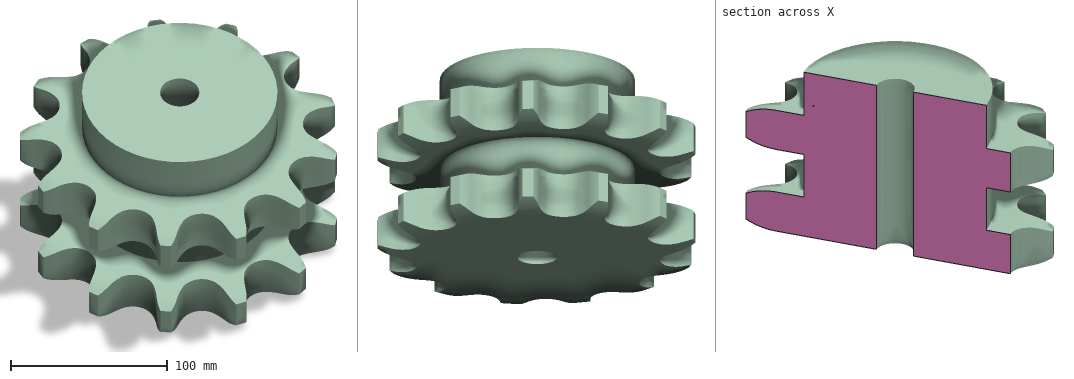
import cadquery as cq
import math


total_height = 120.0
hub_diameter = 125.0
bore_diameter = 25.0

tooth_count = 13
wheel_thickness = 28.9
strand_spacing = 59.6
tip_radius = 102.1

pitch_radius = 92.8
roller_diameter = 27.9
tooth_angle = 360 / tooth_count
chain_pitch = 2 * pitch_radius * math.sin(math.radians(tooth_angle / 2))

relief_start_radius = 81.8
relief_arc_radius = chain_pitch
blank_margin = 2.0

seat_radius = 1.005 * roller_diameter / 2
seat_angle = 35 + 60 / tooth_count
working_angle = 18 - 56 / tooth_count
working_center_distance = 0.8 * roller_diameter
topping_center_distance = 1.4 * roller_diameter

def polar(center, distance, degrees):
    """Point at a distance and direction from a center."""
    angle = math.radians(degrees)
    return (center[0] + distance * math.cos(angle), center[1] + distance * math.sin(angle))


def turned(point, degrees):
    """Point rotated about the Z axis."""
    direction = math.degrees(math.atan2(point[1], point[0]))
    return polar((0, 0), math.hypot(*point), direction + degrees)


def gap_flank():
    """Points of the right flank of the gap centered on +Y, from the end of the roller seat outward.

    They are the seat end, the middle and end of the concave working arc, the end of the
    straight stretch, and the middle and end of the convex topping arc.
    """
    roller_center = (0, pitch_radius)
    seat_end = polar(roller_center, seat_radius, -seat_angle)

    working_center = polar(roller_center, working_center_distance, 180 - seat_angle)
    working_radius = working_center_distance + seat_radius
    working_mid = polar(working_center, working_radius, working_angle / 2 - seat_angle)
    working_end_direction = working_angle - seat_angle
    working_end = polar(working_center, working_radius, working_end_direction)

    topping_center = polar(roller_center, topping_center_distance, -tooth_angle / 2)
    flank_direction = math.radians(working_end_direction + 90)
    straight_length = (
        (topping_center[0] - working_end[0]) * math.cos(flank_direction)
        + (topping_center[1] - working_end[1]) * math.sin(flank_direction)
    )
    straight_end = polar(working_end, straight_length, working_end_direction + 90)
    topping_radius = math.dist(topping_center, straight_end)

    topping_start_direction = working_end_direction + 180
    center_radius = math.hypot(*topping_center)
    center_direction = math.degrees(math.atan2(topping_center[1], topping_center[0]))
    tip_cosine = (tip_radius**2 - center_radius**2 - topping_radius**2) / (
        2 * center_radius * topping_radius
    )
    topping_end_direction = center_direction + math.degrees(math.acos(tip_cosine))
    topping_mid_direction = (topping_start_direction + topping_end_direction) / 2
    topping_mid = polar(topping_center, topping_radius, topping_mid_direction)
    topping_end = polar(topping_center, topping_radius, topping_end_direction)
    return seat_end, working_mid, working_end, straight_end, topping_mid, topping_end


def tooth_outline():
    """Closed outline of a wheel: gap after gap, clockwise from the gap on +Y."""
    right_flank = gap_flank()
    seat_bottom = (0, pitch_radius - seat_radius)
    left_flank = [(-x, y) for x, y in reversed(right_flank)]
    first_point = left_flank[0]
    tip_middle = polar((0, 0), tip_radius, 90 - tooth_angle / 2)

    outline = cq.Workplane("XY").moveTo(*first_point)
    for index in range(tooth_count):
        turn = -index * tooth_angle
        tip_left, topping_left, line_left, work_left, work_left_mid, seat_left = [
            turned(point, turn) for point in left_flank
        ]
        seat_right, work_right_mid, work_right, line_right, topping_right, tip_right = [
            turned(point, turn) for point in right_flank
        ]
        next_tip = turned(first_point, turn - tooth_angle)
        outline = (
            outline.threePointArc(topping_left, line_left)
            .lineTo(*work_left)
            .threePointArc(work_left_mid, seat_left)
            .threePointArc(turned(seat_bottom, turn), seat_right)
            .threePointArc(work_right_mid, work_right)
            .lineTo(*line_right)
            .threePointArc(topping_right, tip_right)
            .threePointArc(turned(tip_middle, turn), next_tip)
        )
    return outline.close()


def relieved_blank():
    """Disc with both faces curving away toward the tooth tips."""
    blank_radius = tip_radius + blank_margin

    def relief_drop(radius):
        offset = radius - relief_start_radius
        return relief_arc_radius - math.sqrt(relief_arc_radius**2 - offset**2)

    middle_radius = (relief_start_radius + blank_radius) / 2
    middle_drop = relief_drop(middle_radius)
    rim_drop = relief_drop(blank_radius)
    return (
        cq.Workplane("XZ")
        .lineTo(relief_start_radius, 0)
        .threePointArc((middle_radius, middle_drop), (blank_radius, rim_drop))
        .lineTo(blank_radius, wheel_thickness - rim_drop)
        .threePointArc(
            (middle_radius, wheel_thickness - middle_drop),
            (relief_start_radius, wheel_thickness),
        )
        .lineTo(0, wheel_thickness)
        .close()
        .revolve(360, (0, 0, 0), (0, 1, 0))
    )


def toothed_wheel():
    """One wheel, standing on the XY plane."""
    return tooth_outline().extrude(wheel_thickness).intersect(relieved_blank())


hub = cq.Workplane("XY").circle(hub_diameter / 2).extrude(total_height)
bore = cq.Workplane("XY").circle(bore_diameter / 2).extrude(total_height)
wheel = toothed_wheel()
result = hub.union(wheel).union(wheel.translate((0, 0, strand_spacing))).cut(bore)